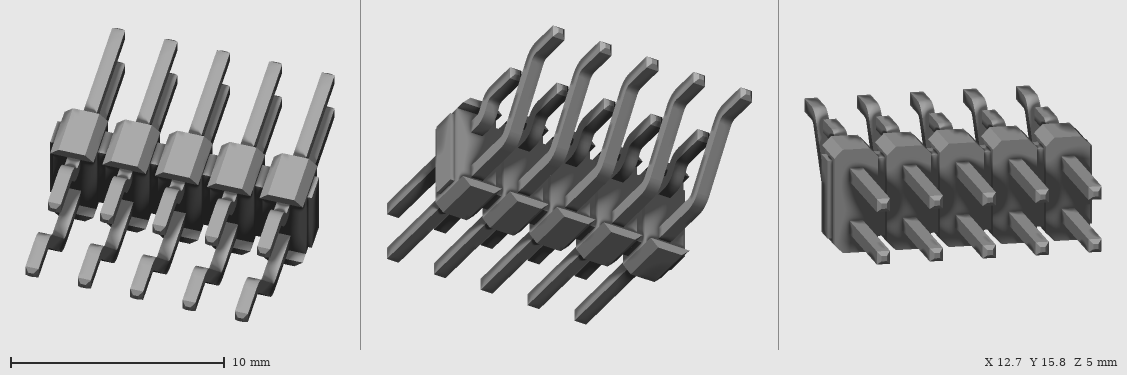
import cadquery as cq
import math


segment_count = 5
row_length = 12.7
pitch = row_length / segment_count

housing_width = 2.1
housing_height = 5.0
housing_bevel = 0.41
block_depth = 2.03
lip_depth = 2.57

bar_height = 3.77
bar_depth = 1.3
bar_setback = 0.46

pin_side = 0.63
pin_spacing = pitch
pin_rear_reach = 5.99
tip_length = 0.19
tip_side = 0.25
overall_length = 15.84
tail_height = (housing_height - pin_side) / 2

upper_bend_angle = math.radians(57)
upper_bend_radius = 0.67
upper_bend_end = 3.86
upper_tail_end = 5.86
lower_bend_angle = math.radians(54)
lower_bend_radius = 0.79
lower_bend_end = 8.08
lower_tail_end = overall_length - pin_rear_reach


def make_housing():
    """Beveled block with overhanging lips and a side bar across the full pitch."""
    beveled_prism = (
        cq.Workplane("XZ")
        .rect(housing_width, housing_height)
        .extrude(lip_depth)
        .edges("|Y")
        .chamfer(housing_bevel)
    )
    gap_height = housing_height - 2 * housing_bevel
    lip_gap = (
        cq.Workplane("XZ", origin=(0, -block_depth, 0))
        .rect(housing_width, gap_height)
        .extrude(lip_depth - block_depth)
    )
    bar = (
        cq.Workplane("XZ", origin=(0, -bar_setback, 0))
        .rect(pitch, bar_height)
        .extrude(bar_depth)
    )
    return beveled_prism.cut(lip_gap).union(bar)


def make_tip(y, z, plane):
    """Tapered pin end that starts at (y, z) and points along the plane normal."""
    taper = math.degrees(math.atan2((pin_side - tip_side) / 2, tip_length))
    return (
        cq.Workplane(plane, origin=(0, y, z))
        .rect(pin_side, pin_side)
        .extrude(tip_length, taper=taper)
    )


def make_pin(row_height, bend_angle, bend_radius, bend_end, tail_end):
    """Square pin with an upward S-bend from its row height to the tail height."""
    rise = tail_height - row_height
    bend_run = bend_radius * math.sin(bend_angle)
    bend_rise = bend_radius * (1 - math.cos(bend_angle))
    half_bend_run = bend_radius * math.sin(bend_angle / 2)
    half_bend_rise = bend_radius * (1 - math.cos(bend_angle / 2))
    slope_run = (rise - 2 * bend_rise) / math.tan(bend_angle)

    rear_y = pin_rear_reach - tip_length
    tail_y = -tail_end + tip_length
    second_bend_y = -bend_end
    first_bend_y = second_bend_y + 2 * bend_run + slope_run

    centerline = (
        cq.Workplane("YZ")
        .moveTo(rear_y, row_height)
        .lineTo(first_bend_y, row_height)
        .threePointArc(
            (first_bend_y - half_bend_run, row_height + half_bend_rise),
            (first_bend_y - bend_run, row_height + bend_rise),
        )
        .lineTo(second_bend_y + bend_run, tail_height - bend_rise)
        .threePointArc(
            (second_bend_y + half_bend_run, tail_height - half_bend_rise),
            (second_bend_y, tail_height),
        )
        .lineTo(tail_y, tail_height)
    )
    shank = (
        cq.Workplane("XZ", origin=(0, rear_y, row_height))
        .rect(pin_side, pin_side)
        .sweep(centerline)
    )
    rear_tip = make_tip(rear_y, row_height, "ZX")
    tail_tip = make_tip(tail_y, tail_height, "XZ")
    return shank.union(rear_tip).union(tail_tip)


def make_segment():
    """One header position: a housing segment with its upper and lower pins, as one solid."""
    upper_pin = make_pin(
        pin_spacing / 2, upper_bend_angle, upper_bend_radius, upper_bend_end, upper_tail_end
    )
    lower_pin = make_pin(
        -pin_spacing / 2, lower_bend_angle, lower_bend_radius, lower_bend_end, lower_tail_end
    )
    joined = make_housing().union(upper_pin).union(lower_pin)
    return joined.solids().val()


segment = make_segment()
segments = []
for index in range(segment_count):
    x = (index - (segment_count - 1) / 2) * pitch
    segments.append(segment.translate(cq.Vector(x, 0, 0)))

result = cq.Compound.makeCompound(segments)